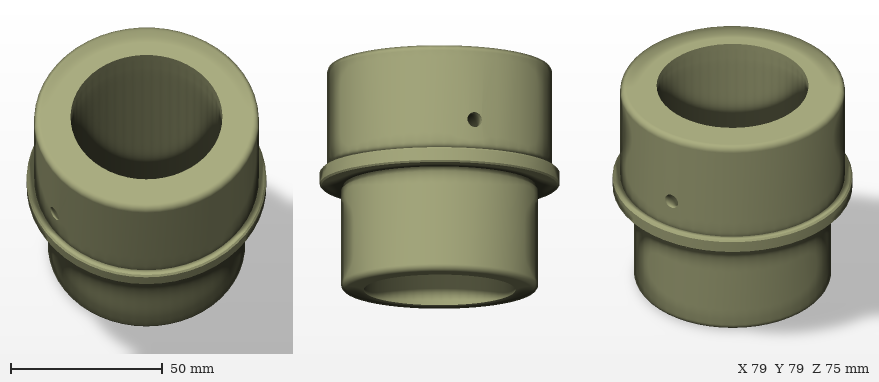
import cadquery as cq

flange_diameter = 79.0
upper_diameter = 74.0
lower_diameter = 65.0
bore_diameter = 50.0
lower_length = 35.0
flange_thickness = 5.0
upper_length = 35.0
end_radius = 2.0
flange_chamfer = 0.55
relief_height = 1.7
relief_depth = 0.8
hole_diameter = 5.0
hole_height_above_flange = 10.0

flange_top = lower_length + flange_thickness
total_height = flange_top + upper_length
lower_radius = lower_diameter / 2
upper_radius = upper_diameter / 2


def make_body():
    """Stepped cylinder with rounded ends and a chamfered flange."""
    lower = cq.Workplane("XY").circle(lower_radius).extrude(lower_length)
    lower = lower.faces("<Z").edges().fillet(end_radius)

    flange = cq.Workplane("XY").workplane(offset=lower_length)
    flange = flange.circle(flange_diameter / 2).extrude(flange_thickness)
    flange = flange.edges().chamfer(flange_chamfer)

    upper = cq.Workplane("XY").workplane(offset=flange_top)
    upper = upper.circle(upper_radius).extrude(upper_length)
    upper = upper.faces(">Z").edges().fillet(end_radius)
    return lower.union(flange).union(upper)


def make_relief():
    """Ring with a concave floor, cut where the lower cylinder meets the flange."""
    relief_bottom = lower_length - relief_height
    floor_radius = lower_radius - relief_depth
    return (
        cq.Workplane("XZ")
        .moveTo(lower_radius, relief_bottom)
        .radiusArc((floor_radius, lower_length), relief_height)
        .lineTo(lower_radius, lower_length)
        .close()
        .revolve(360, (0, 0, 0), (0, 1, 0))
    )


def make_side_hole():
    """Radial hole through the -Y wall only, from the outside to the bore."""
    return (
        cq.Workplane("XZ", origin=(0, -upper_radius, flange_top + hole_height_above_flange))
        .circle(hole_diameter / 2)
        .extrude(-upper_radius)
    )


bore = cq.Workplane("XY").circle(bore_diameter / 2).extrude(total_height)

result = make_body().cut(make_relief()).cut(bore).cut(make_side_hole())